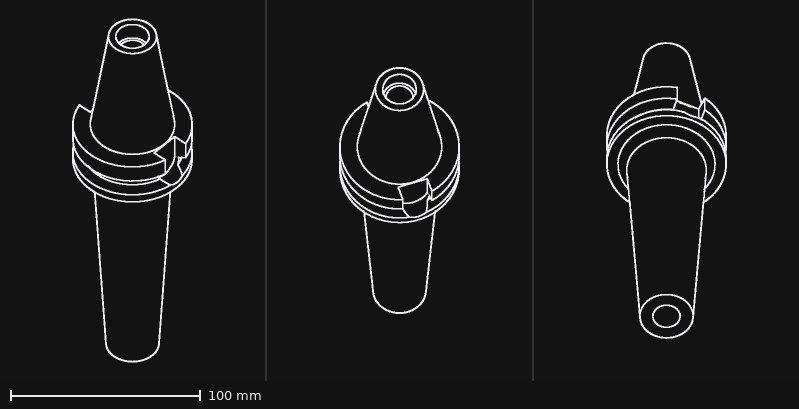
import cadquery as cq

total_length = 230.5
gauge_height = 165.0
flange_top = 164.3
groove_top_edge = 153.7
groove_core_top = 150.5
groove_core_bottom = 146.0
groove_bottom_edge = 143.3
flange_bottom = 138.0
collar_bottom = 132.7

nose_radius = 14.0
neck_radius = 21.0
collar_top_radius = 25.5
flange_radius = 63.0 / 2
groove_core_radius = 26.7
gauge_radius = 44.5 / 2
taper_top_radius = 12.7

bore_radius = 7.1
counterbore_radius = 8.8
counterbore_depth = 10.1

slot_width = 16.1
slot_floor_distance = 22.5
slot_bottom = 142.0


def make_body():
    """Revolve the nose, collar, grooved flange and spindle taper about Z."""
    profile = [
        (0, 0),
        (nose_radius, 0),
        (neck_radius, collar_bottom),
        (collar_top_radius, flange_bottom),
        (flange_radius, flange_bottom),
        (flange_radius, groove_bottom_edge),
        (groove_core_radius, groove_core_bottom),
        (groove_core_radius, groove_core_top),
        (flange_radius, groove_top_edge),
        (flange_radius, flange_top),
        (gauge_radius, flange_top),
        (gauge_radius, gauge_height),
        (taper_top_radius, total_length),
        (0, total_length),
    ]
    return cq.Workplane("XZ").polyline(profile).close().revolve(360, (0, 0, 0), (0, 1, 0))


def make_drive_slot(side):
    """Round-bottomed slot cutter, open to the top and outside; side is +1 or -1."""
    half_width = slot_width / 2
    arc_center_height = slot_bottom + half_width
    return (
        cq.Workplane("YZ", origin=(side * slot_floor_distance, 0, 0))
        .moveTo(-half_width, gauge_height)
        .lineTo(-half_width, arc_center_height)
        .threePointArc((0, slot_bottom), (half_width, arc_center_height))
        .lineTo(half_width, gauge_height)
        .close()
        .extrude(side * flange_radius)
    )


def make_bore():
    """Through bore with a counterbore at the small end of the taper."""
    through = cq.Workplane("XY").circle(bore_radius).extrude(total_length)
    counterbore = (
        cq.Workplane("XY", origin=(0, 0, total_length - counterbore_depth))
        .circle(counterbore_radius)
        .extrude(counterbore_depth)
    )
    return through.union(counterbore)


result = make_body().cut(make_bore())
for side in (-1, 1):
    result = result.cut(make_drive_slot(side))